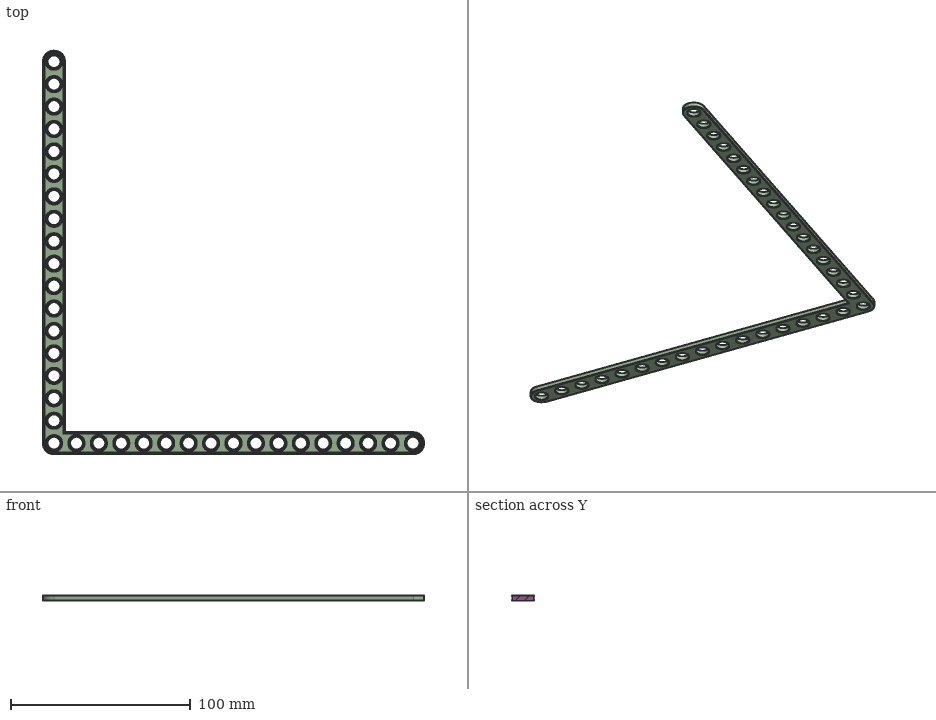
import cadquery as cq

pitch = 12.5
holes_along_x = 17
holes_along_y = 18
thickness = pitch / 4
hole_diameter = 7.0
boss_diameter = 9.2
edge_chamfer = 0.3
pocket_depth = 0.2

rim_width = (boss_diameter - hole_diameter) / 2
x_reach = (holes_along_x - 1) * pitch
y_reach = (holes_along_y - 1) * pitch

hole_centers = [(column * pitch, 0) for column in range(holes_along_x)]
hole_centers += [(0, row * pitch) for row in range(1, holes_along_y)]


def make_arm(reach, angle, width, bottom, height):
    """Round-ended bar along the hole row that starts at the corner hole."""
    plane = cq.Workplane("XY").workplane(offset=bottom)
    bar = plane.center(reach / 2, 0).slot2D(reach + width, width).extrude(height)
    return bar.rotate((0, 0, 0), (0, 0, 1), angle)


def make_angle(width, bottom, height):
    """L-shaped bar: one arm along X and one along Y, sharing the corner hole."""
    x_arm = make_arm(x_reach, 0, width, bottom, height)
    y_arm = make_arm(y_reach, 90, width, bottom, height)
    return x_arm.union(y_arm).clean()


def make_cylinders(diameter, bottom, height):
    """One cylinder at every hole position."""
    plane = cq.Workplane("XY").workplane(offset=bottom)
    return plane.pushPoints(hole_centers).circle(diameter / 2).extrude(height)


def make_plate():
    """Perforated plate with every top and bottom edge chamfered."""
    blank = make_angle(pitch, 0, thickness)
    drilled = blank.cut(make_cylinders(hole_diameter, 0, thickness))
    return drilled.faces("<Z or >Z").edges().chamfer(edge_chamfer)


def make_pocket():
    """Shallow top recess between the outline rim and the rings around the holes."""
    floor = thickness - pocket_depth
    recess = make_angle(pitch - 2 * rim_width, floor, pocket_depth)
    return recess.cut(make_cylinders(boss_diameter, floor, pocket_depth))


result = make_plate().cut(make_pocket())